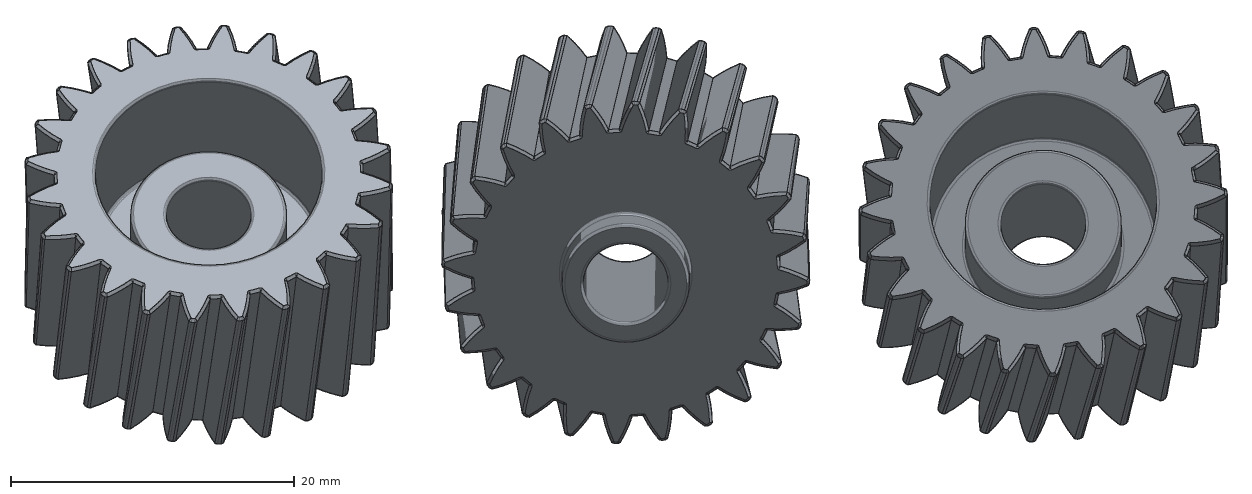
import cadquery as cq
import math

tooth_count = 24
gear_height = 15.0
tip_diameter = 26.0
tip_radius = tip_diameter / 2
root_radius = 10.9
tooth_twist = 7.0
top_tooth_angle = 87.0

tooth_root_width = 2.1
tooth_middle_width = 1.48
tooth_tip_width = 0.6
tip_flat_width = 0.23
tip_break = 0.08
end_chamfer = 0.2
chamfer_angle = 45

edge_round = 0.2
boss_radius = 4.5
boss_height = 2.0
bore_radius = 3.0
recess_radius = 8.0
recess_depth = 10.0
hub_radius = 5.5
hub_top_depth = 5.0


def polar_point(radius, angle):
    return (radius * math.cos(angle), radius * math.sin(angle))


def gear_outline(height):
    """Closed outline of the toothed section at a height, tooth by tooth, counterclockwise."""
    pitch_angle = 2 * math.pi / tooth_count
    shoulder_radius = tip_radius - tip_break
    middle_radius = (root_radius + shoulder_radius) / 2
    root_half = math.asin(tooth_root_width / 2 / root_radius)
    middle_half = math.asin(tooth_middle_width / 2 / middle_radius)
    shoulder_half = math.asin(tooth_tip_width / 2 / shoulder_radius)
    tip_half = math.asin(tip_flat_width / 2 / tip_radius)
    first_angle = math.radians(top_tooth_angle - tooth_twist * (1 - height / gear_height))

    plane = cq.Workplane("XY", origin=(0, 0, height))
    outline = plane.moveTo(*polar_point(root_radius, first_angle - root_half))
    for tooth in range(tooth_count):
        centre = first_angle + tooth * pitch_angle
        gap_centre = centre + pitch_angle / 2
        next_root = centre + pitch_angle - root_half
        outline = (
            outline
            .threePointArc(
                polar_point(middle_radius, centre - middle_half),
                polar_point(shoulder_radius, centre - shoulder_half),
            )
            .lineTo(*polar_point(tip_radius, centre - tip_half))
            .threePointArc(polar_point(tip_radius, centre), polar_point(tip_radius, centre + tip_half))
            .lineTo(*polar_point(shoulder_radius, centre + shoulder_half))
            .threePointArc(
                polar_point(middle_radius, centre + middle_half),
                polar_point(root_radius, centre + root_half),
            )
            .threePointArc(polar_point(root_radius, gap_centre), polar_point(root_radius, next_root))
        )
    return outline.close()


def helical_gear():
    """Twisted toothed body standing on Z = 0, with chamfered bands at both ends."""
    upper_height = gear_height - end_chamfer
    twisted_height = upper_height - end_chamfer
    twist = tooth_twist * twisted_height / gear_height
    body = gear_outline(end_chamfer).twistExtrude(twisted_height, twist)
    bottom_band = gear_outline(end_chamfer).extrude(-end_chamfer, taper=chamfer_angle)
    top_band = gear_outline(upper_height).extrude(end_chamfer, taper=chamfer_angle)
    return body.union(bottom_band, glue=True).union(top_band, glue=True)


def cylinder(radius, lower, upper):
    """Upright cylinder on the Z axis between two heights."""
    return cq.Workplane("XY", origin=(0, 0, lower)).circle(radius).extrude(upper - lower)


def inner_recess():
    """Ring-shaped cavity around the hub, open at the top face."""
    hub_top = gear_height - hub_top_depth
    floor = gear_height - recess_depth
    return cylinder(recess_radius, floor, gear_height).cut(cylinder(hub_radius, floor, hub_top))


def is_full_circle(edge):
    """True for the full circles of bore, boss, hub and recess; the tooth outline has only arcs."""
    return edge.IsClosed()


gear = helical_gear()
boss = cylinder(boss_radius, -boss_height, 0)
bore = cylinder(bore_radius, -boss_height, gear_height)
sharp_part = gear.union(boss).cut(inner_recess()).cut(bore)
result = sharp_part.edges("%CIRCLE").filter(is_full_circle).fillet(edge_round)